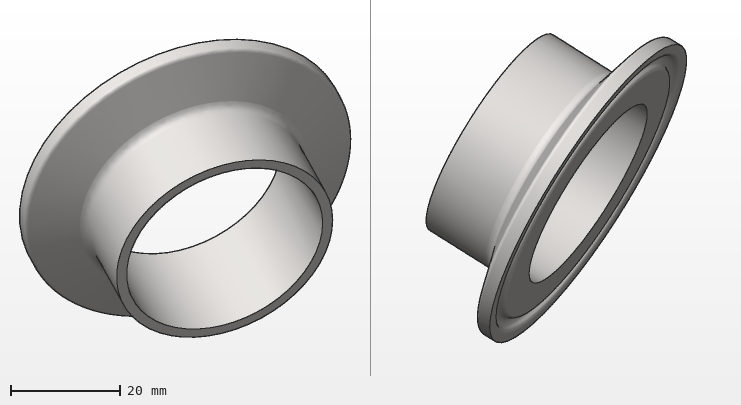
import cadquery as cq
import math

length = 21.5
flange_radius = 32.0
tube_radius = 21.2
bore_radius = 19.2

rim_width = 2.9
cone_angle = math.radians(20)
rim_fillet = 0.8
neck_fillet = 2.0

groove_radius = 28.2
groove_half_width = 2.0
groove_wall_angle = math.radians(65)
groove_lip_fillet = 0.8
groove_floor_arc = 1.15


def circle_edge(x, radius):
    """Select the circular edge near a given profile point."""
    margin = 0.03
    low = (x - margin, -radius - margin, -radius - margin)
    high = (x + margin, radius + margin, radius + margin)
    return cq.selectors.BoxSelector(low, high, boundingbox=True)


def make_body():
    neck_x = rim_width + (flange_radius - tube_radius) * math.tan(cone_angle)
    profile = cq.Workplane("XY").polyline([
        (0, bore_radius),
        (0, flange_radius),
        (rim_width, flange_radius),
        (neck_x, tube_radius),
        (length, tube_radius),
        (length, bore_radius),
    ]).close()
    body = profile.revolve(360, (0, 0, 0), (1, 0, 0))
    body = body.edges(circle_edge(rim_width, flange_radius)).fillet(rim_fillet)
    return body.edges(circle_edge(neck_x, tube_radius)).fillet(neck_fillet)


def make_groove():
    """Ring whose section is a round floor, two short sloping walls and two rounded lips."""
    def arc_width(radius, angle):
        return radius * math.sin(angle)

    def arc_rise(radius, angle):
        return radius * (1 - math.cos(angle))

    half_angle = groove_wall_angle / 2
    floor_offset = arc_width(groove_floor_arc, groove_wall_angle)
    lip_offset = groove_half_width - arc_width(groove_lip_fillet, groove_wall_angle)
    lip_mid_offset = groove_half_width - arc_width(groove_lip_fillet, half_angle)

    lip_mid_x = arc_rise(groove_lip_fillet, half_angle)
    lip_x = arc_rise(groove_lip_fillet, groove_wall_angle)
    floor_x = lip_x + (lip_offset - floor_offset) * math.tan(groove_wall_angle)
    bottom_x = floor_x + arc_rise(groove_floor_arc, groove_wall_angle)

    section = (
        cq.Workplane("XY")
        .moveTo(0, groove_radius + groove_half_width)
        .threePointArc((lip_mid_x, groove_radius + lip_mid_offset), (lip_x, groove_radius + lip_offset))
        .lineTo(floor_x, groove_radius + floor_offset)
        .threePointArc((bottom_x, groove_radius), (floor_x, groove_radius - floor_offset))
        .lineTo(lip_x, groove_radius - lip_offset)
        .threePointArc((lip_mid_x, groove_radius - lip_mid_offset), (0, groove_radius - groove_half_width))
        .close()
    )
    return section.revolve(360, (0, 0, 0), (1, 0, 0))


result = make_body().cut(make_groove())